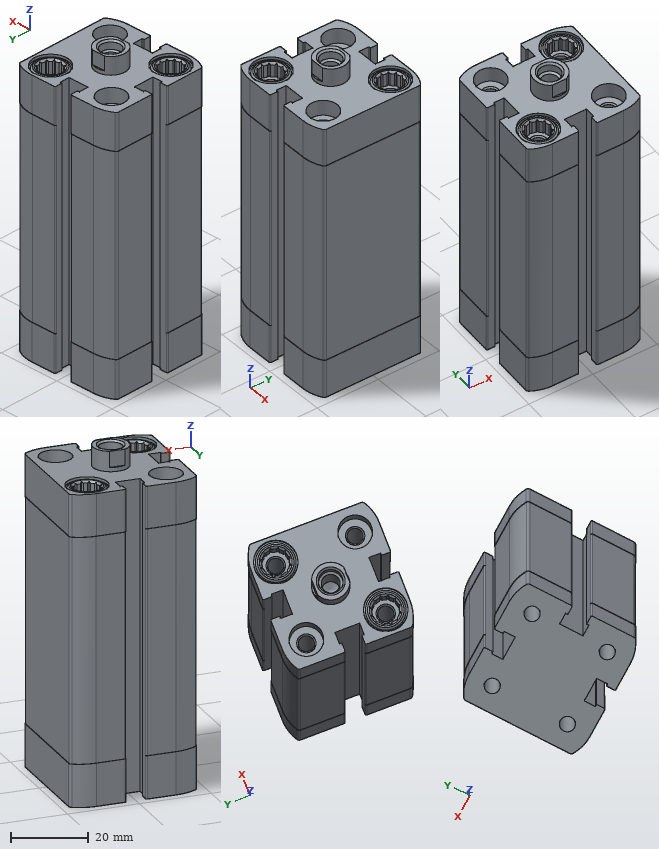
import cadquery as cq
import math

TOTAL_HEIGHT = 92.5
CAP_WIDTH = 35.5
ROD_PROTRUSION = 5.6
HOUSING_HEIGHT = TOTAL_HEIGHT - ROD_PROTRUSION
UPPER_CAP_HEIGHT = 11.8
LOWER_CAP_HEIGHT = 12.0
TUBE_INSET = 0.1

CORNER_RADIUS = 12.0
CORNER_ARC_CENTRE_X = 11.1
CORNER_ARC_CENTRE_Y = CAP_WIDTH / 2 - CORNER_RADIUS
CAP_EDGE_FILLET = 1.0
TUBE_EDGE_FILLET = CAP_EDGE_FILLET - TUBE_INSET

SLOT_OPENING_WIDTH = 5.55
SLOT_INNER_WIDTH = 6.8
SLOT_LIP_DEPTH = 2.6
SLOT_DEPTH = 5.8
SLOT_EDGE_FILLET = 0.4
SLOT_ANGLES = (-90, 90, 180)

HOLE_OFFSET = 11.0
THROUGH_DIAMETER = 4.2
HOLE_MOUTH_DIAMETER = 5.0
COUNTERBORE_DIAMETER = 9.0
COUNTERBORE_DEPTH = 4.8
HOLE_FLOOR = HOUSING_HEIGHT - COUNTERBORE_DEPTH
PLAIN_CORNERS = ((-HOLE_OFFSET, HOLE_OFFSET), (HOLE_OFFSET, -HOLE_OFFSET))
SOCKET_CORNERS = ((-HOLE_OFFSET, -HOLE_OFFSET), (HOLE_OFFSET, HOLE_OFFSET))

COLLAR_RECESS_DIAMETER = 11.5
COLLAR_DIAMETER = 10.5
COLLAR_TOP_DEPTH = 0.3
COLLAR_CHAMFER = 0.6
COLLAR_RECESS_DEPTH = COLLAR_TOP_DEPTH + COLLAR_CHAMFER
SOCKET_DIAMETER = 7.2
SOCKET_POINT_DIAMETER = 8.0
SOCKET_MOUTH_DIAMETER = 8.5
SOCKET_SQUARES = 3
SOCKET_SQUARE_STEP = 90 / SOCKET_SQUARES

ROD_DIAMETER = 10.0
ROD_LENGTH = UPPER_CAP_HEIGHT + ROD_PROTRUSION
ROD_ACROSS_FLATS = 9.0
ROD_FLAT_LENGTH = 4.4
ROD_MOUTH_DIAMETER = 7.5
ROD_COUNTERBORE_DIAMETER = 6.4
ROD_COUNTERBORE_DEPTH = 2.8
ROD_STEP_HEIGHT = 0.4
ROD_BORE_DIAMETER = 4.9
ROD_BORE_DEPTH = 12.0
DRILL_POINT_ANGLE = 118.0


def revolved(points):
    """Solid of revolution about Z from (radius, height) points."""
    return cq.Workplane("XZ").polyline(points).close().revolve(360, (0, 0), (0, 1))


def section_block(inset, edge_fillet, bottom, height):
    """Square block with arched corners, drawn in from the cap outline by `inset`."""
    half = CAP_WIDTH / 2 - inset
    radius = CORNER_RADIUS - inset
    corner_reach = half - CORNER_ARC_CENTRE_X
    side_end = CORNER_ARC_CENTRE_Y + math.sqrt(radius**2 - corner_reach**2)
    block = (
        cq.Workplane("XY", origin=(0, 0, bottom))
        .moveTo(CORNER_ARC_CENTRE_X, half)
        .radiusArc((half, side_end), radius)
        .lineTo(half, -side_end)
        .radiusArc((CORNER_ARC_CENTRE_X, -half), radius)
        .lineTo(-CORNER_ARC_CENTRE_X, -half)
        .radiusArc((-half, -side_end), radius)
        .lineTo(-half, side_end)
        .radiusArc((-CORNER_ARC_CENTRE_X, half), radius)
        .close()
        .extrude(height)
    )
    return block.edges("|Z").edges("<X or >X").fillet(edge_fillet)


def slot_cutter(angle, inset):
    """T-slot on the +X side with rounded mouth edges, turned about Z by `angle`."""
    face = CAP_WIDTH / 2 - inset
    lip = CAP_WIDTH / 2 - SLOT_LIP_DEPTH
    floor = CAP_WIDTH / 2 - SLOT_DEPTH
    opening = SLOT_OPENING_WIDTH / 2
    inner = SLOT_INNER_WIDTH / 2
    mouth = opening + SLOT_EDGE_FILLET
    return (
        cq.Workplane("XY")
        .moveTo(floor, -inner)
        .lineTo(lip, -inner)
        .lineTo(lip, -opening)
        .lineTo(face - SLOT_EDGE_FILLET, -opening)
        .radiusArc((face, -mouth), SLOT_EDGE_FILLET)
        .lineTo(face, mouth)
        .radiusArc((face - SLOT_EDGE_FILLET, opening), SLOT_EDGE_FILLET)
        .lineTo(lip, opening)
        .lineTo(lip, inner)
        .lineTo(floor, inner)
        .close()
        .extrude(HOUSING_HEIGHT)
        .rotate((0, 0, 0), (0, 0, 1), angle)
    )


def section(inset, edge_fillet, bottom, height):
    """One length of the housing, with its slots."""
    block = section_block(inset, edge_fillet, bottom, height)
    for angle in SLOT_ANGLES:
        block = block.cut(slot_cutter(angle, inset))
    return block


def through_hole_cutter():
    """Through hole with a chamfered mouth in the counterbore floor, on the Z axis."""
    radius = THROUGH_DIAMETER / 2
    mouth = HOLE_MOUTH_DIAMETER / 2
    return revolved([(0, 0), (radius, 0), (radius, HOLE_FLOOR - (mouth - radius)), (mouth, HOLE_FLOOR), (0, HOLE_FLOOR)])


def counterbore_cutter():
    """Counterbore at the top of a plain corner hole, on the Z axis."""
    return cq.Workplane("XY", origin=(0, 0, HOLE_FLOOR)).circle(COUNTERBORE_DIAMETER / 2).extrude(COUNTERBORE_DEPTH)


def socket_cutter():
    """Twelve-point socket with a conical lead-in, and the recess around its collar."""
    collar_top = HOUSING_HEIGHT - COLLAR_TOP_DEPTH
    recess_floor = HOUSING_HEIGHT - COLLAR_RECESS_DEPTH
    socket_radius = SOCKET_DIAMETER / 2
    mouth_radius = SOCKET_MOUTH_DIAMETER / 2
    collar_radius = COLLAR_DIAMETER / 2
    recess_radius = COLLAR_RECESS_DIAMETER / 2
    cutter = revolved(
        [
            (0, HOLE_FLOOR),
            (socket_radius, HOLE_FLOOR),
            (socket_radius, collar_top - (mouth_radius - socket_radius)),
            (mouth_radius, collar_top),
            (collar_radius - COLLAR_CHAMFER, collar_top),
            (collar_radius, recess_floor),
            (recess_radius, recess_floor),
            (recess_radius, HOUSING_HEIGHT),
            (0, HOUSING_HEIGHT),
        ]
    )
    points_height = collar_top - (SOCKET_MOUTH_DIAMETER - SOCKET_POINT_DIAMETER) / 2 - HOLE_FLOOR
    square = cq.Workplane("XY", origin=(0, 0, HOLE_FLOOR)).polygon(4, SOCKET_POINT_DIAMETER).extrude(points_height)
    for index in range(SOCKET_SQUARES):
        cutter = cutter.union(square.rotate((0, 0, 0), (0, 0, 1), index * SOCKET_SQUARE_STEP))
    return cutter


def rod_blank():
    """Plain round rod, which also shapes the hole it sits in."""
    bottom = TOTAL_HEIGHT - ROD_LENGTH
    return cq.Workplane("XY", origin=(0, 0, bottom)).circle(ROD_DIAMETER / 2).extrude(ROD_LENGTH)


def make_housing():
    """Cylinder housing: tube between two end caps, with slots, corner holes and the rod hole."""
    upper_cap_bottom = HOUSING_HEIGHT - UPPER_CAP_HEIGHT
    tube_height = upper_cap_bottom - LOWER_CAP_HEIGHT
    lower_cap = section(0, CAP_EDGE_FILLET, 0, LOWER_CAP_HEIGHT)
    tube = section(TUBE_INSET, TUBE_EDGE_FILLET, LOWER_CAP_HEIGHT, tube_height)
    upper_cap = section(0, CAP_EDGE_FILLET, upper_cap_bottom, UPPER_CAP_HEIGHT)
    housing = lower_cap.union(tube).union(upper_cap)
    for x, y in PLAIN_CORNERS + SOCKET_CORNERS:
        housing = housing.cut(through_hole_cutter().translate((x, y, 0)))
    for x, y in PLAIN_CORNERS:
        housing = housing.cut(counterbore_cutter().translate((x, y, 0)))
    for x, y in SOCKET_CORNERS:
        housing = housing.cut(socket_cutter().translate((x, y, 0)))
    return housing.cut(rod_blank())


def rod_bore_cutter():
    """Stepped blind bore with a chamfered mouth, a conical step and a drill point."""
    mouth = ROD_MOUTH_DIAMETER / 2
    counterbore = ROD_COUNTERBORE_DIAMETER / 2
    bore = ROD_BORE_DIAMETER / 2
    step = TOTAL_HEIGHT - ROD_COUNTERBORE_DEPTH
    bottom = TOTAL_HEIGHT - ROD_BORE_DEPTH
    point_depth = bore / math.tan(math.radians(DRILL_POINT_ANGLE / 2))
    return revolved(
        [
            (0, TOTAL_HEIGHT),
            (mouth, TOTAL_HEIGHT),
            (counterbore, TOTAL_HEIGHT - (mouth - counterbore)),
            (counterbore, step),
            (bore, step - ROD_STEP_HEIGHT),
            (bore, bottom),
            (0, bottom - point_depth),
        ]
    )


def make_rod():
    """Piston rod with two wrench flats and a bore in its top end."""
    rod = rod_blank()
    flat_offset = ROD_ACROSS_FLATS / 2
    flat_depth = ROD_DIAMETER / 2 - flat_offset
    for side in (-1, 1):
        flat_cutter = cq.Workplane("XY").box(ROD_DIAMETER, flat_depth, ROD_FLAT_LENGTH)
        flat_y = side * (flat_offset + flat_depth / 2)
        rod = rod.cut(flat_cutter.translate((0, flat_y, TOTAL_HEIGHT - ROD_FLAT_LENGTH / 2)))
    return rod.cut(rod_bore_cutter())


housing = make_housing()
rod = make_rod()
result = cq.Compound.makeCompound([housing.val(), rod.val()])